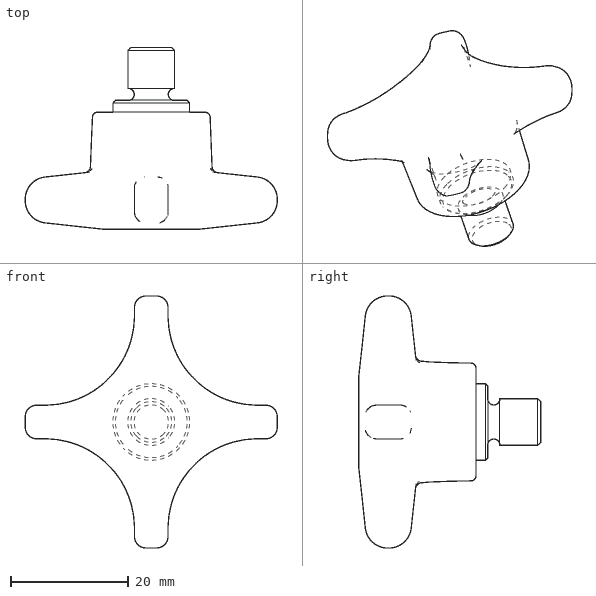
import cadquery as cq
import math

span = 43.0
grip_radius = span / 2
tip_radius = 3.85
rim_middle = 5.05
rim_half_flat = 0.1
slope = math.radians(6.2)
tip_centre = grip_radius - tip_radius
tip_start = tip_centre + tip_radius * math.sin(slope)
half_thickness = rim_half_flat + tip_radius * math.cos(slope)
front_tip_y = rim_middle - half_thickness
back_tip_y = rim_middle + half_thickness
face_radius = tip_start - front_tip_y / math.tan(slope)
arm_half_width = 2.9
edge_radius = 1.98

hub_start_y = 7.75
hub_end_y = 20.0
hub_start_radius = 10.5
hub_end_radius = 10.0
hub_edge_radius = 0.9
junction_radius = 1.0
collar_radius = 6.55
collar_end_y = 22.0
collar_chamfer = 0.45
neck_radius = 2.92
neck_end_y = 24.0
neck_end_radius = 3.7
stud_radius = 4.0
stud_end_y = 31.0
stud_chamfer = 0.5


def revolve(outline):
    """Turn a closed XY outline about the Y axis."""
    return outline.close().revolve(axisStart=(0, 0, 0), axisEnd=(0, 1, 0))


def make_star(length):
    """Four-armed prism with concave quarter-circle valleys, its arms longer than the grip."""
    valley_radius = tip_start - arm_half_width
    valley_middle = tip_start - valley_radius / math.sqrt(2)
    overshoot = grip_radius + edge_radius
    outline = cq.Workplane("XZ").moveTo(overshoot, -arm_half_width)
    arm_count = 4
    for quarter in range(arm_count):
        angle = 2 * math.pi * quarter / arm_count

        def turn(x, z):
            return (
                x * math.cos(angle) - z * math.sin(angle),
                x * math.sin(angle) + z * math.cos(angle),
            )

        outline = outline.lineTo(*turn(overshoot, arm_half_width))
        outline = outline.lineTo(*turn(tip_start, arm_half_width))
        outline = outline.threePointArc(
            turn(valley_middle, valley_middle), turn(arm_half_width, tip_start)
        )
        if quarter < arm_count - 1:
            outline = outline.lineTo(*turn(arm_half_width, overshoot))
    return outline.close().extrude(-length)


def make_grip_blank():
    """Lens-shaped disc with a rounded rim."""
    centre_back_y = back_tip_y + tip_start * math.tan(slope)
    bulge_angle = math.pi / 4
    bulge_x = tip_centre + tip_radius * math.cos(bulge_angle)
    bulge_offset = rim_half_flat + tip_radius * math.sin(bulge_angle)
    return revolve(
        cq.Workplane("XY")
        .lineTo(face_radius, 0)
        .lineTo(tip_start, front_tip_y)
        .threePointArc((bulge_x, rim_middle - bulge_offset), (grip_radius, rim_middle - rim_half_flat))
        .lineTo(grip_radius, rim_middle + rim_half_flat)
        .threePointArc((bulge_x, rim_middle + bulge_offset), (tip_start, back_tip_y))
        .lineTo(0, centre_back_y)
    )


def make_hub():
    """Tapered hub with a rounded back edge."""
    return revolve(
        cq.Workplane("XY")
        .moveTo(0, hub_start_y)
        .lineTo(hub_start_radius, hub_start_y)
        .lineTo(hub_end_radius, hub_end_y)
        .lineTo(0, hub_end_y)
    ).faces(">Y").edges().fillet(hub_edge_radius)


def make_stud():
    """Collar, grooved neck and stud."""
    neck_middle_y = (collar_end_y + neck_end_y) / 2
    return revolve(
        cq.Workplane("XY")
        .moveTo(0, hub_start_y)
        .lineTo(collar_radius, hub_start_y)
        .lineTo(collar_radius, collar_end_y - collar_chamfer)
        .lineTo(collar_radius - collar_chamfer, collar_end_y)
        .lineTo(neck_end_radius, collar_end_y)
        .threePointArc((neck_radius, neck_middle_y), (neck_end_radius, neck_end_y))
        .lineTo(stud_radius, neck_end_y)
        .lineTo(stud_radius, stud_end_y - stud_chamfer)
        .lineTo(stud_radius - stud_chamfer, stud_end_y)
        .lineTo(0, stud_end_y)
    )


def is_wall_border(edge):
    """True for the edges where the arm walls meet the front, back and rim."""
    centre = edge.Center()
    off_axis = min(abs(centre.x), abs(centre.z)) > arm_half_width / 2
    wall_seam = edge.geomType() == "LINE" and edge.Length() > half_thickness
    return off_axis and not wall_seam


def is_hub_junction(edge):
    """True for the edges where the hub meets the arms."""
    centre = edge.Center()
    reach = math.hypot(centre.x, centre.z)
    near_arm_back = abs(centre.y - back_tip_y) < junction_radius
    return near_arm_back and reach < hub_start_radius + junction_radius


star = make_star(stud_end_y)
arms = make_grip_blank().intersect(star)
grip = arms.edges().filter(is_wall_border).fillet(edge_radius)

hub = make_hub().intersect(star)
body = grip.union(hub)
body = body.edges().filter(is_hub_junction).fillet(junction_radius)

result = body.union(make_stud())